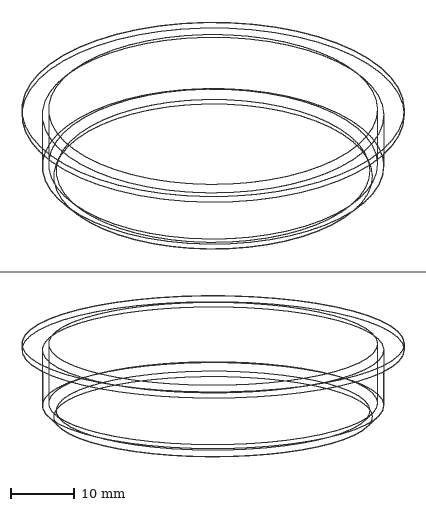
import cadquery as cq

flange_diameter = 60.5
body_diameter = 54.0
cavity_diameter = 52.0
total_height = 11.9

wall_thickness = (body_diameter - cavity_diameter) / 2
flange_thickness = wall_thickness
floor_thickness = wall_thickness

outer_bevel = 1.8
inner_bevel = 1.2


def beveled_disc(diameter, bottom, top, bevel):
    """Upright cylinder with a bevel around its lower edge."""
    disc = cq.Workplane("XY").workplane(offset=bottom).circle(diameter / 2).extrude(top - bottom)
    return disc.faces("<Z").edges().chamfer(bevel)


body = beveled_disc(body_diameter, 0, total_height, outer_bevel)

flange = (
    cq.Workplane("XY")
    .workplane(offset=total_height - flange_thickness)
    .circle(flange_diameter / 2)
    .extrude(flange_thickness)
)

cavity = beveled_disc(cavity_diameter, floor_thickness, total_height, inner_bevel)

result = body.union(flange).cut(cavity)